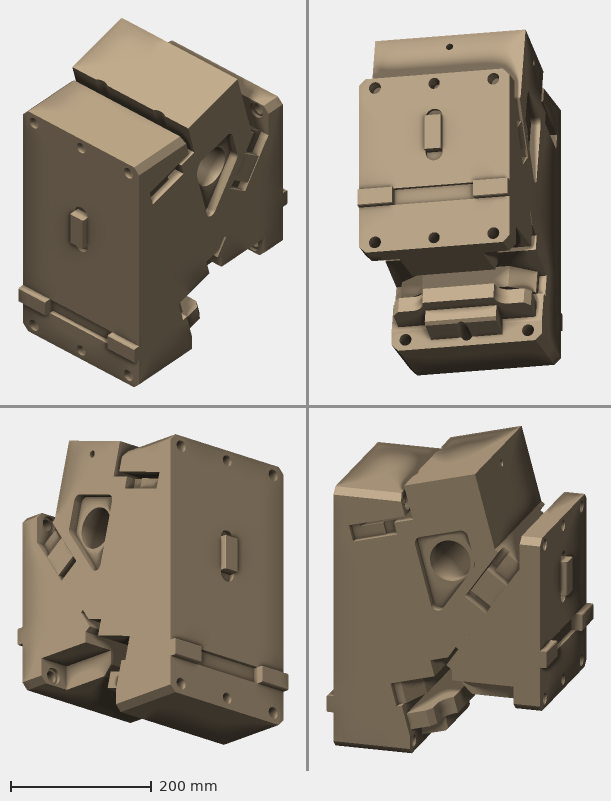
import cadquery as cq
import math


TOTAL_HEIGHT = 433.5
TOTAL_DEPTH = 328.0
WIDTH = 220.0
HALF_WIDTH = WIDTH / 2
KEY_HEIGHT = 10.0
REAR_FACE_Y = TOTAL_DEPTH - 2 * KEY_HEIGHT
CORNER_CHAMFER = 9.5

FRONT_BOLT_X = 89.5
REAR_BOLT_X = 86.5
FRONT_BOLT_EDGE = 15.5
REAR_BOLT_EDGE = 14.5
SIDE_BOLT_RADIUS = 8.5
MIDDLE_BOLT_RADIUS = 8.2
COUNTERBORE_RADIUS = 12.0
COUNTERBORE_DEPTH = 5.0
CROSS_KEY_SIZE = 24.5
CROSS_KEY_INNER_X = 59.5
CROSS_GROOVE_DEPTH = 7.0
UPRIGHT_KEY_LENGTH = 50.3
UPRIGHT_SLOT_LENGTH = 77.0
UPRIGHT_KEY_RISE = 1.5
KEY_CHAMFER = 1.5

FRONT_HEIGHT = 390.0
FRONT_FOOT_Y = 114.0
FRONT_CROSS_KEY_Z = 65.0
FRONT_UPRIGHT_SLOT_Z = 230.5
FRONT_LIP_DEPTH = -18.5
NOTCH_TOP = -7.0
NOTCH_FLOOR = 17.8
STEP_ALONG = 232.7
STEP_END = 268.0
LAND_DEPTH = 36.0
SHOULDER_DEPTH = 56.5
SIDE_POCKET_DEPTH = 68.0
SIDE_POCKET_X = 99.3
LAND_X = 63.3
FOOT_DEPTH = 60.0

BRACKET_TOP = 283.0
BRACKET_MIDDLE = 307.0
BRACKET_BOTTOM = 330.0
BRACKET_X = 100.5
BRACKET_FACE_DEPTH = 21.2
BRACKET_CHAMFER = 8.5
NOSE_DEPTH = 2.5
NOSE_X = 52.0
BRACKET_BASE_DEPTH = 23.0
BRACKET_BASE_CHAMFER = 4.5

WEDGE_TOP = -51.5
WEDGE_BOTTOM = 208.5
WEDGE_FRONT_DEPTH = -29.0
WEDGE_BACK_DEPTH = -138.5
WEDGE_RELIEF_START = 158.5
WEDGE_RELIEF = 4.8
TONGUE_NECK_X = 94.0
TONGUE_NECK_DEPTH = 20.5
BORE_DEPTH = -63.0
BORE_ALONG = 72.5
BORE_RADIUS = 30.5
WINDOW_FRONT = -22.5
WINDOW_BACK = -104.0
WINDOW_TOP = 27.0
WINDOW_RISE = 53.0
WINDOW_RECESS = 14.5
WINDOW_FILLET = 10.0
OIL_DEPTH = -83.5
OIL_ALONG = -32.0
OIL_RADIUS = 5.0
CHANNEL_X = 54.5
CHANNEL_RADIUS = 21.5
CHANNEL_SAGITTA = 3.5

JOINT_X = 96.2
JOINT_LENGTH = 87.5
JOINT_HEIGHT = 38.0
HOOK_X = 84.5
HOOK_HEIGHT = 27.0
HOOK_LENGTH = 84.5
LUG_START = 33.5
LUG_END = 74.5
LUG_HEIGHT = 37.0
LUG_X = 109.0

REAR_BOTTOM_Z = 84.0
REAR_TOP_Z = 344.0
REAR_PLATE_THICKNESS = 30.5
REAR_NOSE_Y = 177.0
REAR_NOSE_CHAMFER = 14.5
REAR_SLOPE_START = 8.2
REAR_SLOPE_END = 190.3
REAR_LIP_DROP = 2.6
REAR_CORNER_DROP = 1.0
REAR_CROSS_KEY_Z = 164.5
REAR_UPRIGHT_SLOT_Z = 253.0
REAR_SIDE_POCKET_X = 60.5
REAR_SIDE_POCKET_Y = 268.5
REAR_SIDE_POCKET_Z = 119.5

MARGIN = 4.5
SIDES = (-1, 1)


class SlopeFrame:
    """Coordinates on a tilted face: depth square to it toward -Y, along running down it."""

    def __init__(self, y, z, tilt):
        self.y = y
        self.z = z
        self.sin = math.sin(math.radians(tilt))
        self.cos = math.cos(math.radians(tilt))

    def point(self, depth, along):
        return (
            self.y - depth * self.cos + along * self.sin,
            self.z - depth * self.sin - along * self.cos,
        )

    def depth_line(self, depth):
        return self.point(depth, 0), (self.sin, -self.cos)

    def along_line(self, along):
        return self.point(0, along), (-self.cos, -self.sin)

    def section_plane(self, along):
        """Plane across the slope: local x is X, local y is depth, normal runs down the slope."""
        return cq.Plane((0, *self.point(0, along)), (1, 0, 0), (0, self.sin, -self.cos))

    def depth_plane(self, depth, along):
        """Plane parallel to the slope, with its normal toward greater depth."""
        return cq.Plane((0, *self.point(depth, along)), (1, 0, 0), (0, -self.cos, -self.sin))


FRONT_TILT = 15
REAR_TILT = -35
FRONT_SEAM_Y = 90.5
REAR_SLOPE_Y = 277.5
REAR_SLOPE_Z = 297.5

tilt_rise = (
    -WEDGE_BACK_DEPTH * math.sin(math.radians(FRONT_TILT))
    - WEDGE_TOP * math.cos(math.radians(FRONT_TILT))
)
front_slope = SlopeFrame(FRONT_SEAM_Y, TOTAL_HEIGHT - tilt_rise, FRONT_TILT)
rear_slope = SlopeFrame(REAR_SLOPE_Y, REAR_SLOPE_Z, REAR_TILT)


def meet(first, second):
    """Point where two lines, each a (point, direction) pair, cross."""
    (ay, az), (ady, adz) = first
    (by, bz), (bdy, bdz) = second
    travel = ((by - ay) * bdz - (bz - az) * bdy) / (ady * bdz - adz * bdy)
    return (ay + travel * ady, az + travel * adz)


def level_line(z):
    return (0, z), (1, 0)


def upright_line(y):
    return (y, 0), (0, 1)


def prism(outline, half_width=HALF_WIDTH):
    """Y-Z outline extruded evenly to both sides of X = 0."""
    return cq.Workplane("YZ").polyline(outline).close().extrude(half_width, both=True)


def slope_bar(frame, outline, start, end):
    """(X, depth) outline extruded along a slope."""
    return cq.Workplane(frame.section_plane(start)).polyline(outline).close().extrude(end - start)


def mirrored(outline):
    """The outline reflected to the other side of X = 0, ordered to continue the first."""
    return [(-x, depth) for x, depth in reversed(outline)]


def box(x_range, y_range, z_range):
    spans = [high - low for low, high in (x_range, y_range, z_range)]
    return cq.Workplane("XY").box(*spans, centered=False).translate((x_range[0], y_range[0], z_range[0]))


def y_rod(x, z, radius, y_start, y_end):
    start = cq.Vector(x, y_start, z)
    return cq.Workplane(cq.Solid.makeCylinder(radius, y_end - y_start, start, cq.Vector(0, 1, 0)))


def corner_trim(bottom, top):
    """Full-depth block whose X-Z corners are chamfered."""
    block = box((-HALF_WIDTH, HALF_WIDTH), (-MARGIN, TOTAL_DEPTH), (bottom, top))
    return block.edges("|Y").chamfer(CORNER_CHAMFER)


def drill_bolt_rows(body, bolt_x, row_heights, y_start, y_end):
    for z in row_heights:
        body = body.cut(y_rod(0, z, MIDDLE_BOLT_RADIUS, y_start, y_end))
        for side in SIDES:
            body = body.cut(y_rod(side * bolt_x, z, SIDE_BOLT_RADIUS, y_start, y_end))
    return body


def add_keys(body, face_y, outward, cross_z, slot_z):
    """Cross groove with a key at each end, and an upright slot with its key."""
    def y_span(inner, outer):
        return sorted((face_y - outward * inner, face_y + outward * outer))

    outer_edges = "<Y" if outward < 0 else ">Y"
    cross_span = (cross_z - CROSS_KEY_SIZE / 2, cross_z + CROSS_KEY_SIZE / 2)
    inner_span = (-CROSS_KEY_INNER_X, CROSS_KEY_INNER_X)
    body = body.cut(box(inner_span, y_span(CROSS_GROOVE_DEPTH, MARGIN), cross_span))
    for side in SIDES:
        x_span = sorted((side * CROSS_KEY_INNER_X, side * HALF_WIDTH))
        key = box(x_span, y_span(CROSS_GROOVE_DEPTH, KEY_HEIGHT), cross_span)
        body = body.union(key.faces(outer_edges).edges("|X").chamfer(KEY_CHAMFER))

    slot_floor = face_y - outward * CROSS_GROOVE_DEPTH
    slot = (
        cq.Workplane("XZ", origin=(0, slot_floor, slot_z))
        .slot2D(UPRIGHT_SLOT_LENGTH, CROSS_KEY_SIZE, 90)
        .extrude(-outward * (CROSS_GROOVE_DEPTH + MARGIN))
    )
    key_z = slot_z + UPRIGHT_KEY_RISE
    upright = box(
        (-CROSS_KEY_SIZE / 2, CROSS_KEY_SIZE / 2),
        y_span(CROSS_GROOVE_DEPTH + MARGIN, KEY_HEIGHT),
        (key_z - UPRIGHT_KEY_LENGTH / 2, key_z + UPRIGHT_KEY_LENGTH / 2),
    )
    upright = upright.faces(outer_edges).edges("|Z").chamfer(KEY_CHAMFER)
    return body.cut(slot).union(upright)


def front_bracket():
    """Nosed hook above a plain block, both running down the front slope."""
    root = FOOT_DEPTH + MARGIN
    fillet_radius = BRACKET_FACE_DEPTH - NOSE_DEPTH
    fillet_x = NOSE_X + fillet_radius
    bend = fillet_radius * math.sqrt(0.5)
    bend_x = fillet_x - bend
    bend_depth = NOSE_DEPTH + bend
    flat_x = BRACKET_X - BRACKET_CHAMFER
    hook = (
        cq.Workplane(front_slope.section_plane(BRACKET_TOP))
        .moveTo(-BRACKET_X, root)
        .lineTo(BRACKET_X, root)
        .lineTo(BRACKET_X, BRACKET_FACE_DEPTH + BRACKET_CHAMFER)
        .lineTo(flat_x, BRACKET_FACE_DEPTH)
        .lineTo(fillet_x, BRACKET_FACE_DEPTH)
        .threePointArc((bend_x, bend_depth), (NOSE_X, NOSE_DEPTH))
        .lineTo(-NOSE_X, NOSE_DEPTH)
        .threePointArc((-bend_x, bend_depth), (-fillet_x, BRACKET_FACE_DEPTH))
        .lineTo(-flat_x, BRACKET_FACE_DEPTH)
        .lineTo(-BRACKET_X, BRACKET_FACE_DEPTH + BRACKET_CHAMFER)
        .close()
        .extrude(BRACKET_MIDDLE - BRACKET_TOP)
    )
    base_root = root + MARGIN
    base = prism(
        [
            front_slope.point(base_root, BRACKET_MIDDLE),
            front_slope.point(BRACKET_BASE_DEPTH, BRACKET_MIDDLE),
            front_slope.point(BRACKET_BASE_DEPTH, BRACKET_BOTTOM - BRACKET_BASE_CHAMFER),
            front_slope.point(BRACKET_BASE_DEPTH + BRACKET_BASE_CHAMFER, BRACKET_BOTTOM),
            front_slope.point(base_root, BRACKET_BOTTOM),
        ],
        NOSE_X,
    )
    return hook.union(base)


def front_side_cuts():
    """Cuts beside the dovetail land, in the notch and below the step."""
    outside = HALF_WIDTH + MARGIN
    profile = [
        (LAND_X, LAND_DEPTH),
        (SIDE_POCKET_X, SHOULDER_DEPTH),
        (SIDE_POCKET_X, SIDE_POCKET_DEPTH),
        (outside, SIDE_POCKET_DEPTH),
        (outside, LAND_DEPTH),
    ]
    return [
        slope_bar(front_slope, outline, start, end)
        for outline in (profile, mirrored(profile))
        for start, end in ((NOTCH_TOP, NOTCH_FLOOR), (STEP_ALONG, STEP_END))
    ]


def front_body():
    foot_line = front_slope.depth_line(FOOT_DEPTH)
    body = prism(
        [
            (0, 0),
            (0, FRONT_HEIGHT),
            meet(front_slope.depth_line(FRONT_LIP_DEPTH), level_line(FRONT_HEIGHT)),
            front_slope.point(FRONT_LIP_DEPTH, NOTCH_TOP),
            front_slope.point(LAND_DEPTH, NOTCH_TOP),
            front_slope.point(LAND_DEPTH, NOTCH_FLOOR),
            front_slope.point(0, NOTCH_FLOOR),
            front_slope.point(0, STEP_ALONG),
            front_slope.point(LAND_DEPTH, STEP_ALONG),
            front_slope.point(LAND_DEPTH, STEP_END),
            front_slope.point(FOOT_DEPTH, STEP_END),
            meet(foot_line, upright_line(FRONT_FOOT_Y)),
            (FRONT_FOOT_Y, 0),
        ]
    )
    for cutter in front_side_cuts():
        body = body.cut(cutter)
    body = body.intersect(corner_trim(0, FRONT_HEIGHT)).union(front_bracket())
    bolt_z = FRONT_HEIGHT - FRONT_BOLT_EDGE
    body = drill_bolt_rows(body, FRONT_BOLT_X, (FRONT_BOLT_EDGE, bolt_z), -MARGIN, REAR_FACE_Y)

    seat_y = meet(front_slope.depth_line(FRONT_LIP_DEPTH), level_line(bolt_z))[0] - COUNTERBORE_DEPTH
    for side in SIDES:
        body = body.cut(y_rod(side * FRONT_BOLT_X, bolt_z, COUNTERBORE_RADIUS, seat_y, REAR_FACE_Y))
    return add_keys(body, 0, -1, FRONT_CROSS_KEY_Z, FRONT_UPRIGHT_SLOT_Z)


def wedge_tongue():
    """Neck and dovetail bar hooked round the land in the notch of the front body."""
    half = [
        (TONGUE_NECK_X, -MARGIN),
        (TONGUE_NECK_X, TONGUE_NECK_DEPTH),
        (SIDE_POCKET_X, TONGUE_NECK_DEPTH),
        (SIDE_POCKET_X, SHOULDER_DEPTH),
        (LAND_X, LAND_DEPTH),
    ]
    return slope_bar(front_slope, half + mirrored(half), 0, NOTCH_FLOOR)


def wedge_window():
    """Rounded recess cutter, as wide in X as the whole wedge."""
    back_line = front_slope.depth_line(WINDOW_BACK)
    front_line = front_slope.depth_line(WINDOW_FRONT)
    slope_line = rear_slope.depth_line(WINDOW_RISE)
    outline = [
        front_slope.point(WINDOW_BACK, WINDOW_TOP),
        front_slope.point(WINDOW_FRONT, WINDOW_TOP),
        meet(front_line, slope_line),
        meet(back_line, slope_line),
    ]
    return prism(outline, HALF_WIDTH).edges("|X").fillet(WINDOW_FILLET)


def wedge_joint_pocket(side):
    """Undercut side pocket for a rear lug."""
    outside = HALF_WIDTH + MARGIN
    pocket = [(JOINT_X, -MARGIN), (outside, -MARGIN), (outside, JOINT_HEIGHT), (JOINT_X, JOINT_HEIGHT)]
    undercut = [
        (HOOK_X, HOOK_HEIGHT),
        (outside, HOOK_HEIGHT),
        (outside, JOINT_HEIGHT),
        (HOOK_X, JOINT_HEIGHT),
    ]
    if side < 0:
        pocket = mirrored(pocket)
        undercut = mirrored(undercut)
    long_part = slope_bar(rear_slope, pocket, -MARGIN, JOINT_LENGTH)
    return long_part.union(slope_bar(rear_slope, undercut, -MARGIN, HOOK_LENGTH))


def drill_oil_passage(body):
    """Blind hole from the -X side meeting a blind hole from the back face at X = 0."""
    oil_y, oil_z = front_slope.point(OIL_DEPTH, OIL_ALONG)
    side_hole = cq.Solid.makeCylinder(
        OIL_RADIUS, HALF_WIDTH, cq.Vector(-HALF_WIDTH, oil_y, oil_z), cq.Vector(1, 0, 0)
    )
    back_hole = (
        cq.Workplane(front_slope.depth_plane(WEDGE_BACK_DEPTH, OIL_ALONG))
        .circle(OIL_RADIUS)
        .extrude(OIL_DEPTH - WEDGE_BACK_DEPTH)
    )
    return body.cut(cq.Workplane(side_hole)).cut(back_hole)


def wedge():
    bottom_line = front_slope.along_line(WEDGE_BOTTOM)
    body = prism(
        [
            front_slope.point(WEDGE_BACK_DEPTH, WEDGE_TOP),
            front_slope.point(WEDGE_FRONT_DEPTH, WEDGE_TOP),
            front_slope.point(WEDGE_FRONT_DEPTH, 0),
            front_slope.point(0, 0),
            front_slope.point(0, WEDGE_BOTTOM),
            meet(bottom_line, rear_slope.depth_line(WEDGE_RELIEF)),
            rear_slope.point(WEDGE_RELIEF, WEDGE_RELIEF_START),
            rear_slope.point(0, WEDGE_RELIEF_START),
            rear_slope.point(0, 0),
            meet(rear_slope.along_line(0), front_slope.depth_line(WEDGE_BACK_DEPTH)),
        ]
    )
    body = body.union(wedge_tongue())

    bore_y, bore_z = front_slope.point(BORE_DEPTH, BORE_ALONG)
    body = body.cut(
        cq.Workplane("YZ").center(bore_y, bore_z).circle(BORE_RADIUS).extrude(HALF_WIDTH, both=True)
    )
    window = wedge_window()
    for side in SIDES:
        body = body.cut(window.translate((side * (WIDTH - WINDOW_RECESS), 0, 0)))
        body = body.cut(wedge_joint_pocket(side))

    channel_depth = WEDGE_FRONT_DEPTH + CHANNEL_RADIUS - CHANNEL_SAGITTA
    channels = (
        cq.Workplane(front_slope.section_plane(WEDGE_TOP))
        .pushPoints([(side * CHANNEL_X, channel_depth) for side in SIDES])
        .circle(CHANNEL_RADIUS)
        .extrude(-WEDGE_TOP)
    )
    return drill_oil_passage(body.cut(channels))


def rear_lug(side):
    """Lug with an inward hook that fills the middle of a wedge side pocket."""
    outline = [
        (JOINT_X, -MARGIN),
        (LUG_X, -MARGIN),
        (LUG_X, LUG_HEIGHT),
        (HOOK_X, LUG_HEIGHT),
        (HOOK_X, HOOK_HEIGHT),
        (JOINT_X, HOOK_HEIGHT),
    ]
    if side < 0:
        outline = mirrored(outline)
    return slope_bar(rear_slope, outline, LUG_START, LUG_END)


def rear_body():
    plate_y = REAR_FACE_Y - REAR_PLATE_THICKNESS
    lip_end = rear_slope.along_line(REAR_SLOPE_END)
    body = prism(
        [
            (REAR_FACE_Y, REAR_BOTTOM_Z),
            (REAR_FACE_Y, REAR_TOP_Z),
            (plate_y, REAR_TOP_Z),
            (plate_y, REAR_SLOPE_Z - REAR_CORNER_DROP),
            rear_slope.point(0, REAR_SLOPE_START),
            rear_slope.point(0, REAR_SLOPE_END),
            meet(lip_end, upright_line(REAR_NOSE_Y)),
            (REAR_NOSE_Y, REAR_BOTTOM_Z + REAR_NOSE_CHAMFER),
            (REAR_NOSE_Y + REAR_NOSE_CHAMFER, REAR_BOTTOM_Z),
        ]
    )
    body = body.intersect(corner_trim(REAR_BOTTOM_Z, REAR_TOP_Z))
    pocket_y = (REAR_NOSE_Y - MARGIN, REAR_SIDE_POCKET_Y)
    pocket_z = (REAR_BOTTOM_Z - MARGIN, REAR_SIDE_POCKET_Z)
    for side in SIDES:
        pocket_x = sorted((side * REAR_SIDE_POCKET_X, side * (HALF_WIDTH + MARGIN)))
        body = body.cut(box(pocket_x, pocket_y, pocket_z)).union(rear_lug(side))

    lower_z = REAR_BOTTOM_Z + REAR_BOLT_EDGE
    upper_z = REAR_TOP_Z - REAR_BOLT_EDGE
    body = drill_bolt_rows(
        body, REAR_BOLT_X, (lower_z, upper_z), REAR_NOSE_Y - MARGIN, REAR_FACE_Y + MARGIN
    )
    for side in SIDES:
        for z, wall_y in ((lower_z, REAR_SIDE_POCKET_Y), (upper_z, plate_y)):
            seat_y = wall_y + COUNTERBORE_DEPTH
            body = body.cut(y_rod(side * REAR_BOLT_X, z, COUNTERBORE_RADIUS, wall_y - MARGIN, seat_y))
    return add_keys(body, REAR_FACE_Y, 1, REAR_CROSS_KEY_Z, REAR_UPRIGHT_SLOT_Z)


front = front_body()
middle = wedge()
rear = rear_body()
result = cq.Compound.makeCompound([front.val(), middle.val(), rear.val()])